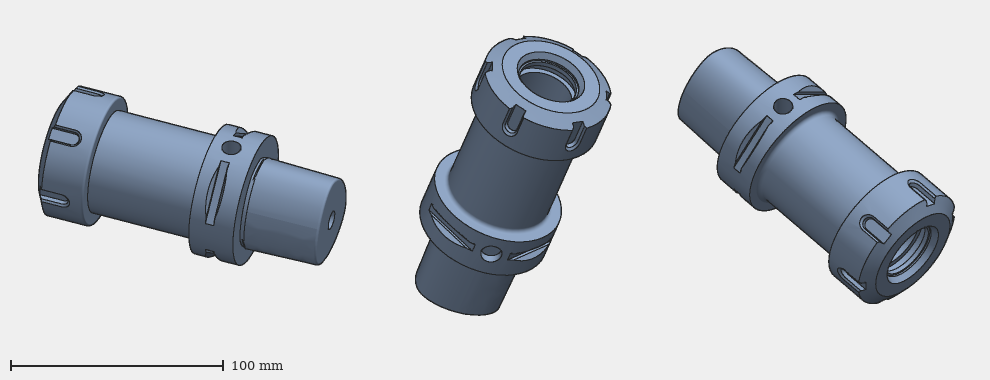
import cadquery as cq
import math

overall_length = 138.0
outer_diameter = 63.0
outer_radius = outer_diameter / 2

nut_length = 25.0
nut_face_diameter = 48.5
nut_cone_half_angle = 60.0
nut_rear_fillet = 1.1

wrench_slot_count = 6
first_wrench_slot_angle = 90
wrench_slot_floor = 28.3
wrench_slot_knee = 30.4
wrench_slot_floor_width = 5.7
wrench_slot_knee_width = 6.2
wrench_slot_mouth_width = 8.1
wrench_slot_end = 18.1

body_diameter = 50.0
body_fillet = 2.1
shank_length = 38.0
flange_width = 22.1
flange_rear = overall_length - shank_length
flange_front = flange_rear - flange_width
flange_feature_x = 87.9

gripper_slot_angles = (45, 135, 225, 315)
gripper_slot_floor = 27.6
gripper_slot_knee = 29.0
gripper_slot_floor_width = 4.1
gripper_slot_mouth_width = 7.5

radial_hole_diameter = 9.0
radial_hole_core_diameter = 16.0

chip_hole_diameter = 10.0
chip_hole_depth = 4.5

lobe_height = 1.4
neck_width = 43.9
collar_width = 44.3
taper_width = 44.0
collar_x = 102.1
taper_x = 102.7
taper_ratio = 1 / 20
shank_end_fillet = 1.1
lobe_relief_diameter = 45.0
lobe_relief_collar_diameter = 46.1
lobe_relief_end = 101.3

through_diameter = 9.0
mouth_diameter = 33.5
throat_diameter = 30.0
mouth_cone_half_angle = 30.0
throat_end = 4.0
socket_diameter = 28.0
groove_diameter = 33.5
groove_start = 6.3
groove_end = 10.8
socket_depth = 41.4

cut_margin = 2.8


def turned(points):
    """Revolve a closed (x, radius) outline about the X axis."""
    return cq.Workplane("XY").polyline(points).close().revolve(360, (0, 0, 0), (1, 0, 0))


def cylinder_x(diameter, start, end):
    return cq.Workplane("YZ", origin=(start, 0, 0)).circle(diameter / 2).extrude(end - start)


def make_nut():
    face_radius = nut_face_diameter / 2
    cone_length = (outer_radius - face_radius) / math.tan(math.radians(nut_cone_half_angle))
    nut = turned([
        (0, 0),
        (0, face_radius),
        (cone_length, outer_radius),
        (nut_length, outer_radius),
        (nut_length, 0),
    ])
    return nut.faces(">X").edges().fillet(nut_rear_fillet)


def make_body_and_flange():
    body_radius = body_diameter / 2
    fillet_middle = body_fillet * (1 - math.sqrt(0.5))
    return (
        cq.Workplane("XY")
        .moveTo(nut_length - cut_margin, 0)
        .lineTo(nut_length - cut_margin, body_radius)
        .lineTo(flange_front - body_fillet, body_radius)
        .threePointArc(
            (flange_front - fillet_middle, body_radius + fillet_middle),
            (flange_front, body_radius + body_fillet),
        )
        .lineTo(flange_front, outer_radius)
        .lineTo(flange_rear, outer_radius)
        .lineTo(flange_rear, 0)
        .close()
        .revolve(360, (0, 0, 0), (1, 0, 0))
    )


def lobed_wire(x, width):
    """Constant-width three-lobed outline with one lobe toward +Z, joined at the three flats."""
    def point(angle):
        support = width / 2 - lobe_height * math.sin(3 * angle)
        slope = -3 * lobe_height * math.cos(3 * angle)
        y = support * math.cos(angle) - slope * math.sin(angle)
        z = support * math.sin(angle) + slope * math.cos(angle)
        return cq.Vector(x, y, z)

    points_per_lobe = 13
    first_flat = math.pi / 6
    lobe_angle = 2 * math.pi / 3
    edges = []
    for lobe in range(3):
        start = first_flat + lobe * lobe_angle
        angles = [start + lobe_angle * i / (points_per_lobe - 1) for i in range(points_per_lobe)]
        tangents = [cq.Vector(0, -math.sin(a), math.cos(a)) for a in (angles[0], angles[-1])]
        edges.append(cq.Edge.makeSpline([point(a) for a in angles], tangents=tangents))
    return cq.Wire.assembleEdges(edges)


def lobed_section(start, start_width, end, end_width):
    wires = [lobed_wire(start, start_width), lobed_wire(end, end_width)]
    return cq.Workplane(cq.Solid.makeLoft(wires, True))


def make_shank():
    end_width = taper_width - taper_ratio * (overall_length - taper_x)
    taper = lobed_section(taper_x, taper_width, overall_length, end_width)
    taper = taper.faces(">X").edges().fillet(shank_end_fillet)
    collar = lobed_section(collar_x, collar_width, taper_x, taper_width)
    neck = lobed_section(flange_rear, neck_width, collar_x, collar_width)
    relief = turned([
        (flange_rear, lobe_relief_diameter / 2),
        (lobe_relief_end, lobe_relief_diameter / 2),
        (collar_x, lobe_relief_collar_diameter / 2),
        (collar_x, outer_radius),
        (flange_rear, outer_radius),
    ])
    return neck.cut(relief).union(collar).union(taper)


def make_bore():
    mouth_radius = mouth_diameter / 2
    throat_radius = throat_diameter / 2
    socket_radius = socket_diameter / 2
    groove_radius = groove_diameter / 2
    mouth_cone_end = (mouth_radius - throat_radius) / math.tan(math.radians(mouth_cone_half_angle))
    cavity = turned([
        (0, 0),
        (0, mouth_radius),
        (mouth_cone_end, throat_radius),
        (throat_end, throat_radius),
        (throat_end, socket_radius),
        (groove_start, socket_radius),
        (groove_start, groove_radius),
        (groove_end, groove_radius),
        (groove_end, socket_radius),
        (socket_depth, socket_radius),
        (socket_depth, 0),
    ])
    return cavity.union(cylinder_x(through_diameter, 0, overall_length))


def slot_layer(bottom, bottom_width, top, top_width):
    """Round-ended slot open toward -X, widening from one distance off the axis to another."""
    slot_center_x = wrench_slot_end - wrench_slot_mouth_width / 2

    def outline(height, slot_width):
        radius = slot_width / 2
        return (
            cq.Workplane("XY", origin=(0, 0, height))
            .moveTo(-cut_margin, -radius)
            .lineTo(slot_center_x, -radius)
            .threePointArc((slot_center_x + radius, 0), (slot_center_x, radius))
            .lineTo(-cut_margin, radius)
            .close()
            .wires()
            .val()
        )

    wires = [outline(bottom, bottom_width), outline(top, top_width)]
    return cq.Workplane(cq.Solid.makeLoft(wires, True))


def make_wrench_slot():
    mouth_half_width = wrench_slot_mouth_width / 2
    mouth_height = math.sqrt(outer_radius**2 - mouth_half_width**2)
    flare = (wrench_slot_mouth_width - wrench_slot_knee_width) / (mouth_height - wrench_slot_knee)
    top = outer_radius + cut_margin
    top_width = wrench_slot_knee_width + flare * (top - wrench_slot_knee)
    lower = slot_layer(
        wrench_slot_floor, wrench_slot_floor_width, wrench_slot_knee, wrench_slot_knee_width
    )
    upper = slot_layer(wrench_slot_knee, wrench_slot_knee_width, top, top_width)
    return lower.union(upper)


def make_gripper_slot():
    top = outer_radius + cut_margin
    half_floor = gripper_slot_floor_width / 2
    half_mouth = gripper_slot_mouth_width / 2
    flare = (half_mouth - half_floor) / (outer_radius - gripper_slot_knee)
    half_top = half_mouth + flare * cut_margin
    return (
        cq.Workplane("XZ", origin=(flange_feature_x, 0, 0))
        .polyline([
            (-half_floor, gripper_slot_floor),
            (half_floor, gripper_slot_floor),
            (half_floor, gripper_slot_knee),
            (half_top, top),
            (-half_top, top),
            (-half_floor, gripper_slot_knee),
        ])
        .close()
        .extrude(outer_radius, both=True)
    )


def make_radial_hole():
    hole = (
        cq.Workplane("XY", origin=(flange_feature_x, 0, 0))
        .circle(radial_hole_diameter / 2)
        .extrude(outer_radius + cut_margin)
    )
    return hole.cut(cylinder_x(radial_hole_core_diameter, flange_front, flange_rear))


def make_chip_hole():
    return (
        cq.Workplane("XY", origin=(flange_feature_x, 0, -outer_radius - cut_margin))
        .circle(chip_hole_diameter / 2)
        .extrude(chip_hole_depth + cut_margin)
    )


def about_axis(shape, angle):
    return shape.rotate((0, 0, 0), (1, 0, 0), angle)


result = make_nut().union(make_body_and_flange()).union(make_shank()).cut(make_bore())

wrench_slot = make_wrench_slot()
for index in range(wrench_slot_count):
    result = result.cut(about_axis(wrench_slot, first_wrench_slot_angle + index * 360 / wrench_slot_count))

gripper_slot = make_gripper_slot()
for angle in gripper_slot_angles:
    result = result.cut(about_axis(gripper_slot, angle))

result = result.cut(make_radial_hole()).cut(make_chip_hole()).solids()